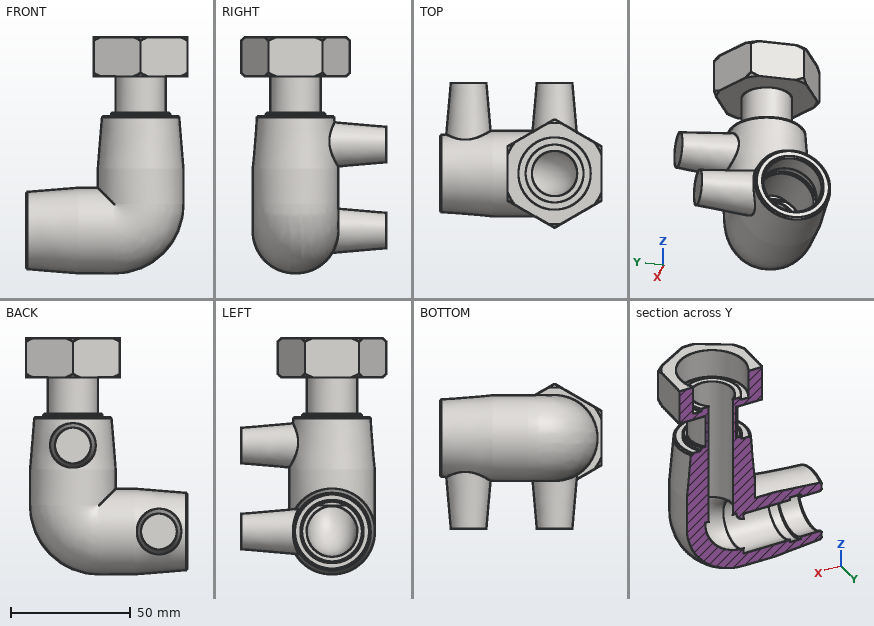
import cadquery as cq
import math


body_diameter = 36.0
body_length = 48.0
bend_radius = 11.0
taper_start = 25.8
leg_end_diameter = 32.5
edge_chamfer = 0.75

socket_diameter = 25.0
passage_diameter = 21.2
groove_diameter = 27.0
groove_depth = 10.0
groove_width = 5.0

tube_diameter = 21.2
tube_bore = 19.0
sleeve_top = 49.35
flange_diameter = 24.23
flange_top = 69.0

nut_top = 81.0
nut_height = 16.5
nut_bottom = nut_top - nut_height
nut_floor = 3.2
nut_across_corners = 45.44
nut_thread_bore = 30.29
nut_chamfer = 1.5

boss_tip = 38.0
boss_tip_diameter = 15.0
boss_draft = 5.0
boss_position = 36.0

cut_margin = 1.0


def revolve_z(points):
    """Revolve an outline of (radius, height) points about Z."""
    return cq.Workplane("XZ").polyline(points).close().revolve(360, (0, 0, 0), (0, 1, 0))


def to_inlet(shape):
    """Turn a shape built on the outlet axis (+Z) onto the inlet axis (-X)."""
    return shape.rotate((0, 0, 0), (0, 1, 0), -90)


def cylinder_z(diameter, bottom, top):
    return cq.Workplane("XY").workplane(offset=bottom).circle(diameter / 2).extrude(top - bottom)


def body_leg():
    """Outlet leg, straight at first and then tapering to a chamfered end."""
    radius = body_diameter / 2
    end_radius = leg_end_diameter / 2
    return revolve_z([
        (0, bend_radius),
        (radius, bend_radius),
        (radius, taper_start),
        (end_radius, body_length - edge_chamfer),
        (end_radius - edge_chamfer, body_length),
        (0, body_length),
    ])


def bend(diameter):
    """Quarter bend joining the legs; a section reaching past the bend axis is cut off there."""
    radius = diameter / 2
    section = cq.Workplane("XY").workplane(offset=bend_radius).circle(radius)
    if radius > bend_radius:
        half_chord = math.sqrt(radius**2 - bend_radius**2)
        section = (
            cq.Workplane("XY").workplane(offset=bend_radius)
            .moveTo(-bend_radius, -half_chord)
            .threePointArc((radius, 0), (-bend_radius, half_chord))
            .close()
        )
    return section.revolve(90, (-bend_radius, 0, 0), (-bend_radius, 1, 0))


def boss():
    """Tapered boss along +Y, running in to the leg axis."""
    tip_radius = boss_tip_diameter / 2
    root_radius = tip_radius + boss_tip * math.tan(math.radians(boss_draft))
    cone = revolve_z([(0, 0), (root_radius, 0), (tip_radius, boss_tip), (0, boss_tip)])
    return cone.rotate((0, 0, 0), (1, 0, 0), -90)


def inlet_socket():
    """Cutter for the inlet socket, with its sealing groove and chamfered mouth."""
    radius = socket_diameter / 2
    groove_radius = groove_diameter / 2
    groove_outer = body_length - groove_depth
    groove_inner = groove_outer - groove_width
    return to_inlet(revolve_z([
        (0, bend_radius),
        (radius, bend_radius),
        (radius, groove_inner),
        (groove_radius, groove_inner),
        (groove_radius, groove_outer),
        (radius, groove_outer),
        (radius, body_length - edge_chamfer),
        (radius + edge_chamfer, body_length),
        (0, body_length),
    ]))


def tail_piece():
    """Solid tail piece, before its bore is cut."""
    sleeve_radius = socket_diameter / 2
    sleeve = revolve_z([
        (0, bend_radius),
        (sleeve_radius, bend_radius),
        (sleeve_radius, sleeve_top - edge_chamfer),
        (sleeve_radius - edge_chamfer, sleeve_top),
        (0, sleeve_top),
    ])
    tube = cylinder_z(tube_diameter, bend_radius, flange_top)
    flange = cylinder_z(flange_diameter, nut_bottom + nut_floor, flange_top)
    return sleeve.union(tube).union(flange)


def union_nut():
    """Hexagon nut with chamfered corners, corners pointing along Y."""
    corner_radius = nut_across_corners / 2
    face_radius = corner_radius - nut_chamfer
    hexagon = (
        cq.Workplane("XY").workplane(offset=nut_bottom)
        .transformed(rotate=(0, 0, 90))
        .polygon(6, nut_across_corners).extrude(nut_height)
    )
    envelope = revolve_z([
        (0, nut_bottom),
        (face_radius, nut_bottom),
        (corner_radius, nut_bottom + nut_chamfer),
        (corner_radius, nut_top - nut_chamfer),
        (face_radius, nut_top),
        (0, nut_top),
    ])
    thread_bore = cylinder_z(nut_thread_bore, nut_bottom + nut_floor, nut_top)
    return hexagon.intersect(envelope).cut(thread_bore)


body = bend(body_diameter).union(body_leg()).union(to_inlet(body_leg()))
for x, z in [(-boss_position, 0), (0, boss_position)]:
    body = body.union(boss().translate((x, 0, z)))

body = body.cut(inlet_socket()).cut(bend(passage_diameter))
body = body.union(union_nut()).union(tail_piece())
result = body.cut(cylinder_z(tube_bore, bend_radius, flange_top + cut_margin))